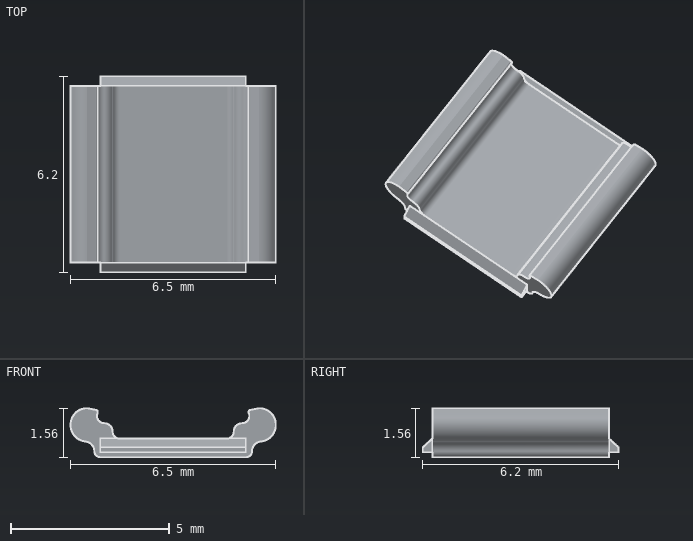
import cadquery as cq
import math

half_width = 3.25
height = 1.56
body_length = 5.59
floor_height = 0.6

bead_radius = 0.53
bead_x = half_width - bead_radius
bead_z = height - bead_radius

floor_fillet = 0.215
shoulder_radius = 0.27
shoulder_x = 2.185
shoulder_z = floor_height + floor_fillet
shoulder_top = shoulder_z + shoulder_radius
groove_radius = 0.22
groove_z = shoulder_top + groove_radius
lip_radius = 0.08
lip_x = 2.46
lip_center_distance = groove_radius + lip_radius
lip_z = groove_z + math.sqrt(lip_center_distance**2 - (lip_x - shoulder_x) ** 2)

base_half_width = 2.495
base_radius = 0.195
neck_z = base_radius
neck_drop = bead_z - neck_z
neck_offset = base_half_width - bead_x
neck_radius = (neck_offset**2 + neck_drop**2 - bead_radius**2) / (2 * (bead_radius - neck_offset))
neck_x = base_half_width + neck_radius

tab_width = 4.6
tab_bottom = 0.155
tab_edge_top = 0.31
tab_reach = 0.305


def arc_point(x, z, radius, angle):
    """Point on a circle in the XZ section, at an angle in degrees from +X."""
    turn = math.radians(angle)
    return (x + radius * math.cos(turn), z + radius * math.sin(turn))


def make_half_body():
    """Positive-X half of the channel, from the mid-plane to the bead."""
    floor_fillet_x = shoulder_x - shoulder_radius - floor_fillet
    lip_to_groove = math.degrees(math.atan2(groove_z - lip_z, shoulder_x - lip_x)) % 360
    groove_start = lip_to_groove - 180
    neck_to_bead = math.degrees(math.atan2(neck_drop, bead_x - neck_x))
    base_center_x = base_half_width - base_radius
    return (
        cq.Workplane("XZ", origin=(0, body_length / 2, 0))
        .moveTo(0, 0)
        .lineTo(base_center_x, 0)
        .threePointArc(
            arc_point(base_center_x, base_radius, base_radius, -45),
            (base_half_width, base_radius),
        )
        .threePointArc(
            arc_point(neck_x, neck_z, neck_radius, (180 + neck_to_bead) / 2),
            arc_point(neck_x, neck_z, neck_radius, neck_to_bead),
        )
        .threePointArc((half_width, bead_z), (bead_x, height))
        .lineTo(lip_x, lip_z + lip_radius)
        .threePointArc(
            arc_point(lip_x, lip_z, lip_radius, (90 + lip_to_groove) / 2),
            arc_point(lip_x, lip_z, lip_radius, lip_to_groove),
        )
        .threePointArc(
            arc_point(shoulder_x, groove_z, groove_radius, (groove_start - 90) / 2),
            (shoulder_x, shoulder_top),
        )
        .threePointArc(
            arc_point(shoulder_x, shoulder_z, shoulder_radius, 135),
            (shoulder_x - shoulder_radius, shoulder_z),
        )
        .threePointArc(
            arc_point(floor_fillet_x, shoulder_z, floor_fillet, -45),
            (floor_fillet_x, floor_height),
        )
        .lineTo(0, floor_height)
        .close()
        .extrude(body_length)
    )


def make_tabs():
    """Bar through the body whose sloped ends stand out as the two tabs."""
    face_y = body_length / 2
    tip_y = face_y + tab_reach
    return (
        cq.Workplane("YZ")
        .polyline(
            [
                (-tip_y, tab_bottom),
                (tip_y, tab_bottom),
                (tip_y, tab_edge_top),
                (face_y, floor_height),
                (-face_y, floor_height),
                (-tip_y, tab_edge_top),
            ]
        )
        .close()
        .extrude(tab_width / 2, both=True)
    )


half_body = make_half_body()
result = half_body.union(half_body.mirror("YZ")).union(make_tabs()).clean()